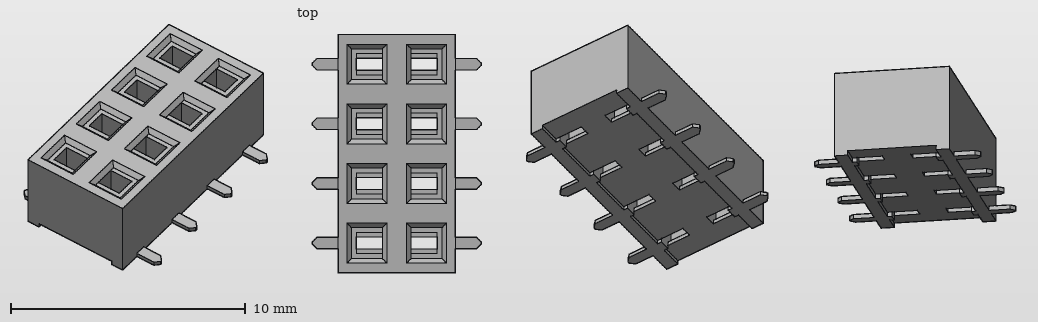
import cadquery as cq


ROWS = 4
BODY_WIDTH = 5.0
BODY_LENGTH = 10.16
BODY_HEIGHT = 3.7
PITCH = BODY_LENGTH / ROWS
COLUMN_OFFSET = PITCH / 2

CHANNEL_WIDTH = 3.84
CHANNEL_DEPTH = 0.19

MOUTH_SIZE = 1.7
BEVEL = 0.19
THROAT_SIZE = MOUTH_SIZE - 2 * BEVEL
LEDGE = 0.2
CAVITY_WIDTH = THROAT_SIZE - LEDGE
CAVITY_LENGTH = THROAT_SIZE - 2 * LEDGE
CAVITY_SHIFT = LEDGE / 2
FLOOR_THICKNESS = 0.2

TAIL_SPAN = 7.2
TAIL_WIDTH = 0.5
TAIL_THICKNESS = CHANNEL_DEPTH
TAIL_TIP_CHAMFER = 0.2
TAIL_INNER_X = COLUMN_OFFSET - CAVITY_SHIFT + CAVITY_WIDTH / 2
TAIL_LENGTH = TAIL_SPAN / 2 - TAIL_INNER_X

UPRIGHT = (True, True, False)


def make_body():
    body = cq.Workplane("XY").box(BODY_WIDTH, BODY_LENGTH, BODY_HEIGHT, centered=UPRIGHT)
    channel = cq.Workplane("XY").box(CHANNEL_WIDTH, BODY_LENGTH, CHANNEL_DEPTH, centered=UPRIGHT)
    return body.cut(channel)


def make_socket():
    """Cutter for one socket of the +X column, with the socket centre on the Z axis."""
    lead_in = (
        cq.Workplane("XY", origin=(0, 0, BODY_HEIGHT - BEVEL))
        .rect(THROAT_SIZE, THROAT_SIZE)
        .workplane(offset=BEVEL)
        .rect(MOUTH_SIZE, MOUTH_SIZE)
        .loft(ruled=True)
    )
    floor_top = CHANNEL_DEPTH + FLOOR_THICKNESS
    cavity = (
        cq.Workplane("XY", origin=(-CAVITY_SHIFT, 0, floor_top))
        .box(CAVITY_WIDTH, CAVITY_LENGTH, BODY_HEIGHT - BEVEL - floor_top, centered=UPRIGHT)
    )
    floor_slot = (
        cq.Workplane("XY", origin=(-CAVITY_SHIFT, 0, CHANNEL_DEPTH))
        .box(CAVITY_WIDTH, TAIL_WIDTH, FLOOR_THICKNESS, centered=UPRIGHT)
    )
    return lead_in.union(cavity).union(floor_slot)


def make_tail():
    """Flat solder tail of the +X column, with a chamfered outer tip."""
    return (
        cq.Workplane("XY", origin=(TAIL_INNER_X + TAIL_LENGTH / 2, 0, 0))
        .box(TAIL_LENGTH, TAIL_WIDTH, TAIL_THICKNESS, centered=UPRIGHT)
        .edges("|Z and >X")
        .chamfer(TAIL_TIP_CHAMFER)
    )


result = make_body()
socket = make_socket().translate((COLUMN_OFFSET, 0, 0))
tail = make_tail()

for row in range(ROWS):
    row_y = (row - (ROWS - 1) / 2) * PITCH
    for column_angle in (0, 180):
        turn = ((0, 0, 0), (0, 0, 1), column_angle)
        result = result.cut(socket.rotate(*turn).translate((0, row_y, 0)))
        result = result.union(tail.rotate(*turn).translate((0, row_y, 0)))